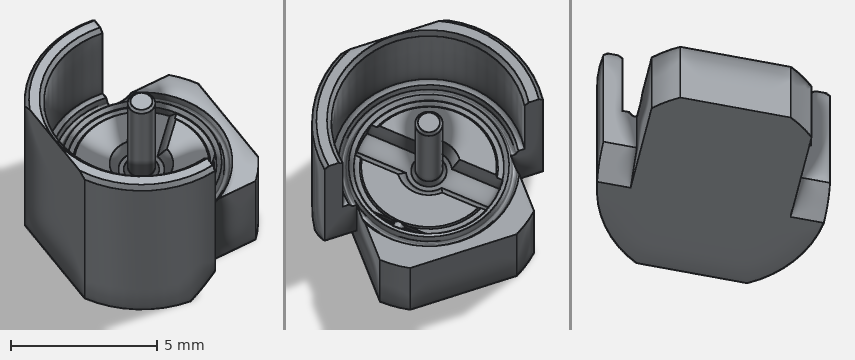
import cadquery as cq

outer_radius = 4.0
body_depth = 7.0
total_height = 6.45
base_height = 3.1
base_width = 5.6

wall_bore_radius = 3.34
wall_end_y = 0.5
wall_rim_chamfer = 0.15
wall_foot_chamfer = 1.0

groove_outer_radius = 3.11
groove_inner_radius = 2.74
groove_side_run = 0.1
groove_side_depth = 0.16
groove_depth = 0.21

socket_radius = 2.57
mouth_depth = 0.1
ring_depth = 0.15
insulator_depth = 0.1
insulator_radius = 2.31
insulator_foot_radius = 2.37
ring_z = base_height - ring_depth
insulator_z = base_height - insulator_depth

slot_angle = -45.0
slot_depth = 0.3
slot_floor_half_width = 0.4
slot_top_half_width = 0.7
slot_hub_floor_radius = 0.78
slot_hub_top_radius = 1.09
slot_floor_z = insulator_z - slot_depth

key_angle = 45.0
flat_distance = 2.34
flat_step_depth = 0.05
key_gap_radius = 2.49
key_gap_depth = 0.19
key_width = 0.4
key_top_rise = 0.04

pin_radius = 0.47
pin_top_z = 6.3
pin_tip_chamfer = 0.1
pin_collar_radius = 0.61

groove_middle_radius = (groove_outer_radius + groove_inner_radius) / 2


def cylinder(radius, bottom, top):
    return cq.Workplane("XY").workplane(offset=bottom).circle(radius).extrude(top - bottom)


def cone(bottom_radius, top_radius, bottom, top):
    solid = cq.Solid.makeCone(bottom_radius, top_radius, top - bottom, pnt=cq.Vector(0, 0, bottom))
    return cq.Workplane(obj=solid)


def make_base():
    """Low block with rounded corners that carries the socket."""
    block = cq.Workplane("XY").box(base_width, body_depth, base_height, centered=(True, True, False))
    return block.intersect(cylinder(outer_radius, 0, base_height))


def make_wall():
    """Curved wall with bevelled rim, a flat outer side and bevelled lower ends."""
    bore_rim = wall_bore_radius + wall_rim_chamfer
    bevel_z = total_height - wall_rim_chamfer
    shell = cylinder(outer_radius, 0, bevel_z)
    shell = shell.union(cone(outer_radius, outer_radius - wall_rim_chamfer, bevel_z, total_height))
    shell = shell.cut(cylinder(wall_bore_radius, base_height, total_height))
    shell = shell.cut(cone(wall_bore_radius, bore_rim, bevel_z, total_height))
    side_outline = (
        cq.Workplane("YZ")
        .moveTo(-body_depth / 2, 0)
        .lineTo(wall_end_y - wall_foot_chamfer, 0)
        .lineTo(wall_end_y, wall_foot_chamfer)
        .lineTo(wall_end_y, total_height)
        .lineTo(-body_depth / 2, total_height)
        .close()
        .extrude(outer_radius, both=True)
    )
    return shell.intersect(side_outline)


def make_groove():
    side_z = base_height - groove_side_depth
    return (
        cq.Workplane("XZ")
        .moveTo(groove_inner_radius, base_height)
        .lineTo(groove_inner_radius + groove_side_run, side_z)
        .threePointArc(
            (groove_middle_radius, base_height - groove_depth),
            (groove_outer_radius - groove_side_run, side_z),
        )
        .lineTo(groove_outer_radius, base_height)
        .close()
        .revolve(360, (0, 0, 0), (0, 1, 0))
    )


def make_socket():
    """Recess whose mouth narrows downward to the flange ring."""
    mouth_z = base_height - mouth_depth
    mouth = cone(socket_radius, groove_inner_radius, mouth_z, base_height)
    return mouth.union(cylinder(socket_radius, ring_z, mouth_z))


def make_flange_flat():
    """Stepped gap left between the flat of the flange and the socket wall."""
    beyond_flat = (
        cq.Workplane("XY")
        .box(socket_radius, 2 * socket_radius, base_height, centered=(False, True, False))
        .translate((flat_distance, 0, 0))
        .rotate((0, 0, 0), (0, 0, 1), key_angle)
    )
    step = cylinder(socket_radius, ring_z - flat_step_depth, ring_z)
    gap = cylinder(key_gap_radius, ring_z - key_gap_depth, ring_z)
    return step.union(gap).intersect(beyond_flat)


def make_key():
    """Round-topped rib that bridges the gap from the insulator to the socket wall."""
    key_axis_z = ring_z + key_top_rise - key_width / 2
    return (
        cq.Workplane("YZ")
        .workplane(offset=insulator_radius)
        .center(0, key_axis_z)
        .circle(key_width / 2)
        .extrude(socket_radius - insulator_radius)
        .rotate((0, 0, 0), (0, 0, 1), key_angle)
    )


def make_slot():
    trough = (
        cq.Workplane("YZ")
        .moveTo(-slot_floor_half_width, slot_floor_z)
        .lineTo(slot_floor_half_width, slot_floor_z)
        .lineTo(slot_top_half_width, insulator_z)
        .lineTo(-slot_top_half_width, insulator_z)
        .close()
        .extrude(socket_radius, both=True)
        .rotate((0, 0, 0), (0, 0, 1), slot_angle)
    )
    hub = cone(slot_hub_floor_radius, slot_hub_top_radius, slot_floor_z, insulator_z)
    return trough.union(hub).intersect(cylinder(socket_radius, slot_floor_z, insulator_z))


def make_pin():
    collar_top_z = slot_floor_z + pin_collar_radius - pin_radius
    pin = cylinder(pin_radius, slot_floor_z, pin_top_z).faces(">Z").chamfer(pin_tip_chamfer)
    return pin.union(cone(pin_collar_radius, pin_radius, slot_floor_z, collar_top_z))


body = make_base().union(make_wall())
body = body.cut(make_groove()).cut(make_socket())
body = body.union(cone(insulator_foot_radius, insulator_radius, ring_z, insulator_z))
body = body.cut(make_flange_flat()).union(make_key())
body = body.cut(make_slot())
result = body.union(make_pin())